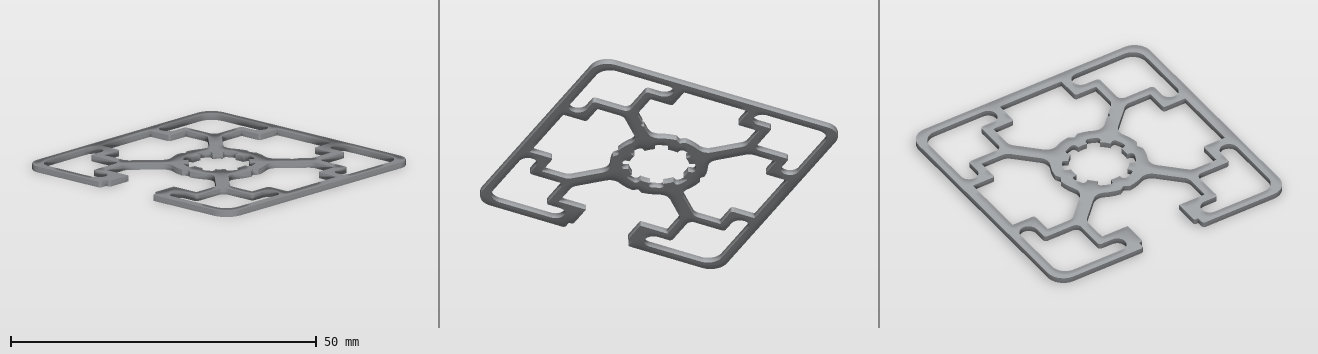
import cadquery as cq
import math

SIDE = 45.0
THICKNESS = 1.0
OUTER_RADIUS = 3.0
WALL = 1.5
HALF = SIDE / 2

CHANNEL_TOP = 20.65
LEDGE = 16.42
NECK_HALF_WIDTH = 6.0
CHANNEL_HALF_WIDTH = 10.0
SHOULDER_RADIUS = 0.4
CHANNEL_CORNER_RADIUS = 1.7

SPOKE_WIDTH = 2.3
HUB_RADIUS = 8.0
HUB_FILLET = 2.0
HUB_NOTCH_HALF_WIDTH = 0.9
HUB_NOTCH_DEPTH = 0.6

BORE_RADIUS = 5.0
RECESS_RADIUS = 6.08
TOOTH_COUNT = 8
TOOTH_ANGLE = 20.0
TOOTH_ROOT_FILLET = 0.5

WEB = 1.55
ARM_END = 7.45
POCKET_CORNER_RADIUS = 2.5
POCKET_INNER_RADIUS = 1.0
POCKET_STEP_RADIUS = 0.5
POCKET_OUTER = HALF - WALL
POCKET_STEP = LEDGE + WEB
POCKET_INNER = CHANNEL_HALF_WIDTH + WEB
ARM_END_RADIUS = (POCKET_OUTER - POCKET_STEP) / 2

MOUTH_HALF_WIDTH = 5.0
MOUTH_RECESS_HALF_WIDTH = 5.75
LIP_RADIUS = 0.35
MOUTH_EDGE_RADIUS = 0.5

GROOVE_RADIUS = 0.35
GROOVE_X = 7.7


def prism(points):
    return cq.Workplane("XY").polyline(points).close().extrude(THICKNESS)


def disc(radius, x=0.0, y=0.0):
    return cq.Workplane("XY").center(x, y).circle(radius).extrude(THICKNESS)


def turned(body, angle):
    return body.rotate((0, 0, 0), (0, 0, 1), angle)


def mirrored(points):
    """Complete a left-right symmetric outline from its right half."""
    return points + [(-x, y) for x, y in reversed(points)]


def round_edges(body, points, radius):
    """Round the upright edges that stand at the given (x, y) points."""
    for x, y in points:
        edge = cq.selectors.NearestToPointSelector((x, y, THICKNESS / 2))
        body = body.edges("|Z").edges(edge).fillet(radius)
    return body


SPOKE_OFFSET = SPOKE_WIDTH / math.sqrt(2)


def channel(neck_half_width, neck_top):
    """Side channel on +Y: a T that tapers between two spokes down to the hub."""
    right_half = [
        (CHANNEL_HALF_WIDTH, CHANNEL_HALF_WIDTH + SPOKE_OFFSET),
        (CHANNEL_HALF_WIDTH, LEDGE),
        (neck_half_width, LEDGE),
        (neck_half_width, neck_top),
    ]
    body = prism([(0, SPOKE_OFFSET)] + mirrored(right_half)).cut(disc(HUB_RADIUS))

    corner_y = CHANNEL_HALF_WIDTH + SPOKE_OFFSET
    corners = [(-CHANNEL_HALF_WIDTH, corner_y), (CHANNEL_HALF_WIDTH, corner_y)]
    body = round_edges(body, corners, CHANNEL_CORNER_RADIUS)

    meet_x = (math.sqrt(2 * HUB_RADIUS**2 - SPOKE_OFFSET**2) - SPOKE_OFFSET) / 2
    meet_y = meet_x + SPOKE_OFFSET
    body = round_edges(body, [(meet_x, meet_y), (-meet_x, meet_y)], HUB_FILLET)

    notch_edge = math.sqrt(HUB_RADIUS**2 - HUB_NOTCH_HALF_WIDTH**2)
    notch = prism([
        (-HUB_NOTCH_HALF_WIDTH, notch_edge),
        (0, HUB_RADIUS - HUB_NOTCH_DEPTH),
        (HUB_NOTCH_HALF_WIDTH, notch_edge),
        (0, HUB_RADIUS + HUB_NOTCH_DEPTH),
    ])
    return body.union(notch)


def closed_channel():
    shoulders = [(-NECK_HALF_WIDTH, LEDGE), (NECK_HALF_WIDTH, LEDGE)]
    return round_edges(channel(NECK_HALF_WIDTH, CHANNEL_TOP), shoulders, SHOULDER_RADIUS)


def corner_pocket():
    """L-shaped pocket in the +X +Y corner, symmetric about the diagonal."""
    arm_centre = ARM_END + ARM_END_RADIUS
    body = prism([
        (POCKET_INNER, POCKET_INNER),
        (POCKET_STEP, POCKET_INNER),
        (POCKET_STEP, arm_centre),
        (POCKET_OUTER, arm_centre),
        (POCKET_OUTER, POCKET_OUTER),
        (arm_centre, POCKET_OUTER),
        (arm_centre, POCKET_STEP),
        (POCKET_INNER, POCKET_STEP),
    ])
    body = round_edges(body, [(POCKET_OUTER, POCKET_OUTER)], POCKET_CORNER_RADIUS)
    body = round_edges(body, [(POCKET_INNER, POCKET_INNER)], POCKET_INNER_RADIUS)
    steps = [(POCKET_STEP, POCKET_INNER), (POCKET_INNER, POCKET_STEP)]
    body = round_edges(body, steps, POCKET_STEP_RADIUS)
    middle = POCKET_OUTER - ARM_END_RADIUS
    for x, y in [(middle, arm_centre), (arm_centre, middle)]:
        body = body.union(disc(ARM_END_RADIUS, x, y))
    return body


def toothed_bore():
    """Bore with teeth left standing whose flanks run along radii."""
    spread = HUB_RADIUS * math.tan(math.radians(TOOTH_ANGLE / 2))
    wedge = prism([(0, 0), (HUB_RADIUS, -spread), (HUB_RADIUS, spread)])
    tooth = wedge.cut(disc(BORE_RADIUS))

    body = disc(RECESS_RADIUS)
    roots = []
    for i in range(TOOTH_COUNT):
        middle = i * 360 / TOOTH_COUNT
        body = body.cut(turned(tooth, middle))
        for flank in (middle - TOOTH_ANGLE / 2, middle + TOOTH_ANGLE / 2):
            angle = math.radians(flank)
            roots.append((RECESS_RADIUS * math.cos(angle), RECESS_RADIUS * math.sin(angle)))
    return round_edges(body, roots, TOOTH_ROOT_FILLET)


result = prism([(-HALF, -HALF), (HALF, -HALF), (HALF, HALF), (-HALF, HALF)])
result = result.edges("|Z").fillet(OUTER_RADIUS)

for quarter in range(4):
    result = result.cut(turned(corner_pocket(), quarter * 90))

for angle in (-90, 0, 90):
    result = result.cut(turned(closed_channel(), angle))

result = result.cut(turned(channel(MOUTH_HALF_WIDTH, HALF), 180))
mouth = cq.Workplane("XY").rect(2 * MOUTH_RECESS_HALF_WIDTH, WALL).extrude(THICKNESS)
result = result.cut(mouth.translate((0, -HALF + WALL / 2, 0)))
for side in (-1, 1):
    result = round_edges(result, [(side * MOUTH_HALF_WIDTH, -POCKET_OUTER)], LIP_RADIUS)
    result = round_edges(result, [(side * MOUTH_RECESS_HALF_WIDTH, -HALF)], MOUTH_EDGE_RADIUS)

result = result.cut(toothed_bore())
result = result.cut(disc(GROOVE_RADIUS, GROOVE_X, GROOVE_X + SPOKE_OFFSET))